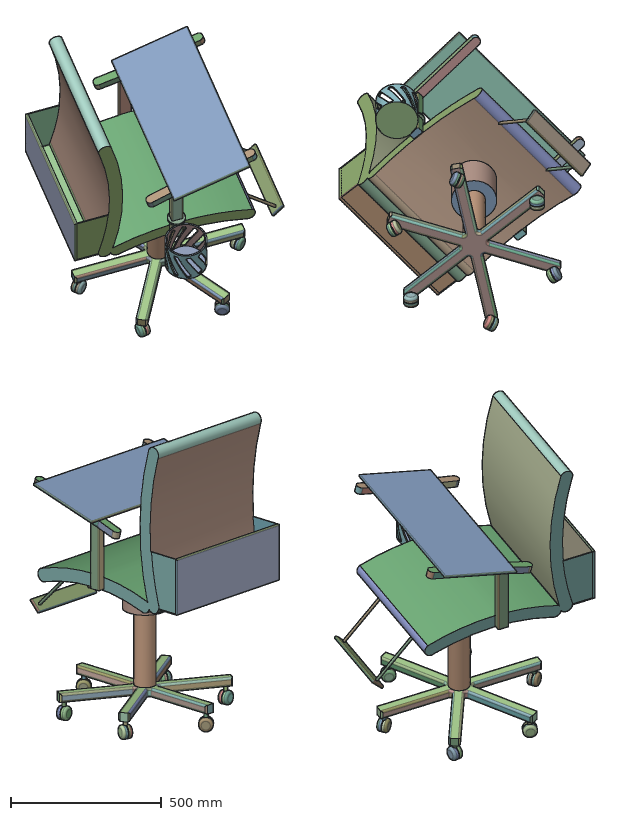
import cadquery as cq
import math

TOTAL_HEIGHT = 1056.0

LEG_COUNT = 6
LEG_REACH = 300.0
LEG_WIDTH = 40.0
LEG_BOTTOM = 67.0
LEG_TOP = 98.0
LEG_FILLET = 7.0
LEG_CHAMFER = 6.0
CASTER_RADIUS = 280.0
CASTER_TURN = -50.0
WHEEL_DIAMETER = 50.0
WHEEL_FILLET = 10.0
WHEEL_PAIR_WIDTH = 38.0
WHEEL_GAP = 2.0
AXLE_DIAMETER = 30.0
STEM_DIAMETER = 15.0

COLUMN_DIAMETER = 75.0
HUB_DIAMETER = 150.0
HUB_BOTTOM = 365.0

CUSHION_WIDTH = 496.0
CUSHION_THICKNESS = 46.0
CUSHION_END_SKEW = 5.0
SEAT_RADIUS = 750.0
SEAT_HALF_LENGTH = 231.0
SEAT_CREST = 548.0
BACK_RADIUS = 961.0
BACK_HALF_LENGTH = 268.0
BACK_FRONT = -212.0

HOLDER_REAR = -381.0
HOLDER_BOTTOM = 491.0
HOLDER_TOP = 687.0
HOLDER_WALL = 3.0
HOLDER_REAR_WALL = 10.0
HOLDER_FILLET = 3.0

POST_OUTER = 272.0
POST_DEPTH = 40.0
POST_Y = -27.0
POST_BOTTOM = 505.0
POST_FILLET = 4.0
ARM_SLOPE = 15.0
ARM_MIDDLE_Y = 59.0
ARM_MIDDLE_Z = 770.0
ARM_HALF_LENGTH = 198.0
ARM_X = 261.0
ARM_WIDTH = 32.0
ARM_THICKNESS = 25.0
ARM_BEND = -111.0
ARM_FLARE = 4.0

BOARD_WIDTH = 630.0
BOARD_LENGTH = 278.0
BOARD_THICKNESS = 8.0
BOARD_OFFSET = 25.0
BOARD_FILLET = 3.0

CUP_X = 356.0
CUP_DIAMETER = 140.0
CUP_BORE = 130.0
CUP_BOTTOM = 467.0
CUP_TOP = 587.0
COLLAR_DIAMETER = 60.0
COLLAR_THICKNESS = 7.0
SLOT_COUNT = 10
SLOT_MIDDLE_Z = 524.0
SLOT_WIDTH = 16.0
SLOT_LENGTH = 112.0
SLOT_TILT = 26.0
SLOT_START = -102.0

FOOT_BAR_LENGTH = 280.0
FOOT_BAR_WIDTH = 54.0
FOOT_BAR_THICKNESS = 11.0
FOOT_BAR_FILLET = 3.0
FOOT_BAR_Y = 373.0
FOOT_BAR_Z = 318.0
FOOT_SLOPE = 45.0
ROD_DIAMETER = 10.0
ROD_X = 119.0
ROD_LENGTH = 253.0

SEAT_CENTER_Z = SEAT_CREST - CUSHION_THICKNESS / 2 - SEAT_RADIUS
BACK_CENTER_Y = BACK_FRONT - CUSHION_THICKNESS / 2 - BACK_RADIUS
BACK_CENTER_Z = TOTAL_HEIGHT - CUSHION_THICKNESS / 2 - BACK_HALF_LENGTH
POST_WIDTH = POST_OUTER - CUSHION_WIDTH / 2
POST_X = POST_OUTER - POST_WIDTH / 2
POST_TOP = ARM_MIDDLE_Z + (POST_Y - ARM_MIDDLE_Y) * math.tan(math.radians(ARM_SLOPE))


def cylinder(diameter, bottom, top, x=0.0, y=0.0):
    """Upright cylinder between two heights."""
    return cq.Workplane("XY", origin=(x, y, bottom)).circle(diameter / 2).extrude(top - bottom)


def polar(center, radius, degrees):
    """Point at a radius and angle around a center."""
    angle = math.radians(degrees)
    return center[0] + radius * math.cos(angle), center[1] + radius * math.sin(angle)


def cushion(center, mid_radius, half_length, facing):
    """Arched pad with round ends; center and facing angle lie in the Y-Z plane.

    The outer arc reaches a little past the inner arc at both ends.
    """
    half = CUSHION_THICKNESS / 2
    outer = mid_radius + half
    inner = mid_radius - half
    half_angle = math.degrees(math.asin(half_length / mid_radius))
    skew = math.degrees(CUSHION_END_SKEW / mid_radius)
    outer_reach = half_angle + skew
    inner_reach = half_angle - skew
    tip_reach = half_angle + math.degrees(half / mid_radius)
    return (
        cq.Workplane("YZ", origin=(-CUSHION_WIDTH / 2, 0, 0))
        .moveTo(*polar(center, outer, facing - outer_reach))
        .threePointArc(polar(center, outer, facing), polar(center, outer, facing + outer_reach))
        .threePointArc(
            polar(center, mid_radius, facing + tip_reach),
            polar(center, inner, facing + inner_reach),
        )
        .threePointArc(polar(center, inner, facing), polar(center, inner, facing - inner_reach))
        .threePointArc(
            polar(center, mid_radius, facing - tip_reach),
            polar(center, outer, facing - outer_reach),
        )
        .close()
        .extrude(CUSHION_WIDTH)
    )


def on_arm_slope(shape):
    """Moves a shape from flat armrest coordinates to the sloping armrest position."""
    return shape.rotate((0, 0, 0), (1, 0, 0), ARM_SLOPE).translate((0, ARM_MIDDLE_Y, ARM_MIDDLE_Z))


def distance_from_column(edge):
    center = edge.Center()
    return math.hypot(center.x, center.y)


def make_star():
    """Star of legs with rounded long edges and chamfered upright corners at their flat ends."""
    star = cq.Workplane("XY", origin=(0, 0, LEG_BOTTOM))
    for i in range(LEG_COUNT // 2):
        leg_pair = (
            cq.Workplane("XY", origin=(0, 0, LEG_BOTTOM))
            .rect(2 * LEG_REACH, LEG_WIDTH)
            .extrude(LEG_TOP - LEG_BOTTOM)
            .rotate((0, 0, 0), (0, 0, 1), 90 + i * 360 / LEG_COUNT)
        )
        star = star.union(leg_pair)
    end_corners = star.edges("|Z").filter(lambda edge: distance_from_column(edge) > LEG_REACH)
    star = end_corners.chamfer(LEG_CHAMFER)
    inner_corners = star.edges("|Z").filter(lambda edge: distance_from_column(edge) < LEG_REACH / 2)
    star = inner_corners.fillet(LEG_FILLET)
    rims = star.faces("<Z or >Z").edges()
    long_edges = rims.filter(lambda edge: distance_from_column(edge) < LEG_REACH - LEG_CHAMFER)
    return long_edges.fillet(LEG_FILLET)


def make_caster():
    """Twin-wheel caster on the +X leg, with the wheel axis along X before it swivels."""
    radius = WHEEL_DIAMETER / 2
    wheel_width = (WHEEL_PAIR_WIDTH - WHEEL_GAP) / 2
    wheel = (
        cq.Workplane("YZ", origin=(WHEEL_GAP / 2, 0, radius))
        .circle(radius)
        .extrude(wheel_width)
        .faces(">X")
        .edges()
        .fillet(WHEEL_FILLET)
    )
    axle = (
        cq.Workplane("YZ", origin=(-WHEEL_PAIR_WIDTH / 4, 0, radius))
        .circle(AXLE_DIAMETER / 2)
        .extrude(WHEEL_PAIR_WIDTH / 2)
    )
    stem = cylinder(STEM_DIAMETER, radius, LEG_BOTTOM + LEG_FILLET)
    caster = axle.union(wheel).union(wheel.mirror("YZ")).union(stem)
    return caster.rotate((0, 0, 0), (0, 0, 1), CASTER_TURN).translate((CASTER_RADIUS, 0, 0))


def make_seat():
    return cushion((0, SEAT_CENTER_Z), SEAT_RADIUS, SEAT_HALF_LENGTH, 90)


def make_backrest():
    return cushion((BACK_CENTER_Y, BACK_CENTER_Z), BACK_RADIUS, BACK_HALF_LENGTH, 0)


def make_book_holder():
    """Open-topped box behind the backrest, reaching forward into it."""
    height = HOLDER_TOP - HOLDER_BOTTOM
    front = BACK_FRONT - CUSHION_THICKNESS
    depth = front - HOLDER_REAR
    box = (
        cq.Workplane("XY", origin=(0, HOLDER_REAR + depth / 2, HOLDER_BOTTOM))
        .box(CUSHION_WIDTH, depth, height, centered=(True, True, False))
        .edges("<Y or <Z")
        .fillet(HOLDER_FILLET)
    )
    pocket_depth = depth - HOLDER_REAR_WALL
    pocket = (
        cq.Workplane("XY", origin=(0, front - pocket_depth / 2, HOLDER_BOTTOM + HOLDER_WALL))
        .box(CUSHION_WIDTH - 2 * HOLDER_WALL, pocket_depth, height, centered=(True, True, False))
    )
    return box.cut(pocket)


def make_post():
    return (
        cq.Workplane("XY", origin=(POST_X, POST_Y, POST_BOTTOM))
        .rect(POST_WIDTH, POST_DEPTH)
        .extrude(POST_TOP - POST_BOTTOM)
        .edges("|Z and >X")
        .fillet(POST_FILLET)
    )


def make_arm():
    """Flat bar with round ends whose rear part flares outward."""
    half = ARM_WIDTH / 2
    front = ARM_HALF_LENGTH - half
    rear = half - ARM_HALF_LENGTH
    arm = (
        cq.Workplane("XY", origin=(ARM_X, 0, -ARM_THICKNESS / 2))
        .moveTo(half, front)
        .threePointArc((0, ARM_HALF_LENGTH), (-half, front))
        .lineTo(-half, ARM_BEND)
        .lineTo(ARM_FLARE - half, rear)
        .threePointArc((ARM_FLARE, -ARM_HALF_LENGTH), (ARM_FLARE + half, rear))
        .lineTo(half, ARM_BEND)
        .close()
        .extrude(ARM_THICKNESS)
    )
    return on_arm_slope(arm)


def make_chair():
    chair = make_star()
    caster = make_caster()
    for i in range(LEG_COUNT):
        chair = chair.union(caster.rotate((0, 0, 0), (0, 0, 1), 90 + i * 360 / LEG_COUNT))
    seat_middle = SEAT_CREST - CUSHION_THICKNESS / 2
    chair = chair.union(cylinder(COLUMN_DIAMETER, LEG_BOTTOM, seat_middle))
    chair = chair.union(cylinder(HUB_DIAMETER, HUB_BOTTOM, seat_middle))
    chair = chair.union(make_seat()).union(make_backrest()).union(make_book_holder())
    arm = make_post().union(make_arm())
    return chair.union(arm).union(arm.mirror("YZ"))


def make_board():
    board = (
        cq.Workplane("XY", origin=(0, BOARD_OFFSET, ARM_THICKNESS / 2))
        .box(BOARD_WIDTH, BOARD_LENGTH, BOARD_THICKNESS, centered=(True, True, False))
        .edges()
        .fillet(BOARD_FILLET)
    )
    return on_arm_slope(board)


def make_cup_holder():
    cup = cylinder(CUP_DIAMETER, CUP_BOTTOM, CUP_TOP, CUP_X, POST_Y)
    wall = (CUP_DIAMETER - CUP_BORE) / 2
    cup = cup.cut(cylinder(CUP_BORE, CUP_BOTTOM + wall, CUP_TOP, CUP_X, POST_Y))
    slot = (
        cq.Workplane("YZ", origin=(CUP_BORE / 4, 0, 0))
        .slot2D(SLOT_LENGTH, SLOT_WIDTH, 90 + SLOT_TILT)
        .extrude(CUP_DIAMETER / 2)
        .translate((CUP_X, POST_Y, SLOT_MIDDLE_Z))
    )
    axis_start = (CUP_X, POST_Y, 0)
    axis_end = (CUP_X, POST_Y, 1)
    for i in range(SLOT_COUNT):
        cup = cup.cut(slot.rotate(axis_start, axis_end, SLOT_START + i * 360 / SLOT_COUNT))
    collar = cylinder(COLLAR_DIAMETER, CUP_TOP, CUP_TOP + COLLAR_THICKNESS, POST_X, POST_Y)
    return cup.union(collar.cut(make_post()))


def make_footrest(chair):
    """Bar on two sloping rods that end at the underside of the seat."""
    footrest = (
        cq.Workplane("XY")
        .box(FOOT_BAR_LENGTH, FOOT_BAR_WIDTH, FOOT_BAR_THICKNESS)
        .edges()
        .fillet(FOOT_BAR_FILLET)
    )
    rods = (
        cq.Workplane("XY")
        .pushPoints([(-ROD_X, 0), (ROD_X, 0)])
        .circle(ROD_DIAMETER / 2)
        .extrude(ROD_LENGTH)
    )
    footrest = footrest.union(rods)
    footrest = footrest.rotate((0, 0, 0), (1, 0, 0), FOOT_SLOPE).translate((0, FOOT_BAR_Y, FOOT_BAR_Z))
    return footrest.cut(chair)


chair = make_chair()
board = make_board()
cup_holder = make_cup_holder()
footrest = make_footrest(chair)

result = cq.Compound.makeCompound(
    [
        chair.solids().val(),
        board.solids().val(),
        cup_holder.solids().val(),
        footrest.solids().val(),
    ]
)